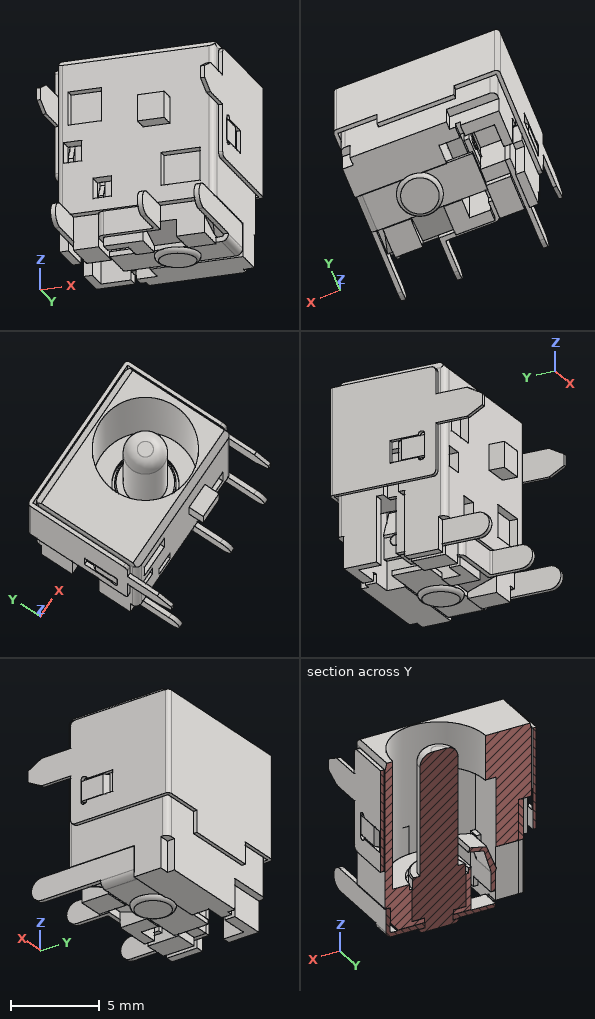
import cadquery as cq
import math


housing_half = 4.75
housing_depth = 7.02
housing_top = 11.7
housing_bottom = 0.2
edge_radius = 0.35
top_chamfer = 0.4
top_side_chamfer = 0.1
base_top = 2.2
base_front = 0.49
base_back = 6.54
foot_left, foot_right = -1.75, 4.1

pin_x, pin_y = 1.25, 3.5
bore_radius = 3.0
bore_floor = 3.39
collar_recess_radius = 1.9
collar_recess_depth = 0.35
pin_radius = 1.25
pin_top = 11.61
pin_dome = 0.8
collar_radius = 1.73
collar_bottom = 0.94
collar_chamfer = 0.08
neck_radius = 0.94
rivet_radius = 1.32
rivet_flat_radius = 1.09
rivet_rounding = 0.32

sheet = 0.3
inner_bend = 0.1
outer_bend = inner_bend + sheet
leg_bottom = 0.74
leg_radius = (base_top - leg_bottom) / 2
leg_tip_y = -2.48
leg_center_y = leg_tip_y + leg_radius
leg_center_z = leg_bottom + leg_radius
barb_tip_y = 0.47
barb_root_y = 0.76

switch_x = -4.21
switch_back = 3.46
switch_strip_front, switch_strip_back = 3.02, 4.0

spring_x = -2.41
spring_leg_x = 1.01
spring_wing_bottom = 1.39
spring_wing_top = 4.21
blade_front, blade_back = 1.81, 5.2
blade_bottom = 2.69

pin_contact_x = 4.41
plate_bottom = 0.29
plate_top = plate_bottom + sheet
plate_front, plate_back = 2.34, 4.68

slot_front, slot_back = 2.63, 4.43
slot_top = 4.24
narrow_slot_top = 6.89
pocket_right = -0.84
pocket_front, pocket_back = 1.17, 5.85
pocket_top = 8.78

shield_half = 5.049
shield_sheet = 0.25
shield_back = 7.32
shield_front = base_front
shield_bottom, shield_top = 4.69, 11.33
shield_bend = 0.25
wing_corner = 0.29
shield_leg_bottom, shield_leg_top = 7.84, 9.62
shield_leg_shoulder = -1.52
shield_leg_tip_bottom, shield_leg_tip_top = 8.35, 9.08
tab_half = 2.34
tab_bottom = 3.28
window_front, window_back = 1.22, 3.42
window_bottom, window_top = 5.95, 7.32
tongue_gap = 0.05
tongue_sink = 0.04
tongue_back = 3.02
tongue_bevel = 0.32
relief_radius = 0.2


def block(x0, x1, y0, y1, z0, z1):
    """Box between two X, two Y and two Z positions."""
    return cq.Workplane("XY").box(x1 - x0, y1 - y0, z1 - z0, centered=False).translate((x0, y0, z0))


def side_plate(x0, x1, outline):
    """Plate between two X positions with an outline of (Y, Z) points."""
    return cq.Workplane("YZ", origin=(x0, 0, 0)).polyline(outline).close().extrude(x1 - x0)


def front_profile(y0, y1, outline):
    """Prism between two Y positions with an outline of (X, Z) points."""
    return cq.Workplane("XZ", origin=(0, y0, 0)).polyline(outline).close().extrude(y0 - y1)


def upright_cylinder(radius, z0, z1):
    """Cylinder on the pin axis."""
    return cq.Workplane("XY", origin=(pin_x, pin_y, z0)).circle(radius).extrude(z1 - z0)


def leg(x0, root_y):
    """Solder leg with a round tip, reaching back to root_y."""
    shank = block(x0, x0 + sheet, leg_center_y, root_y, leg_bottom, base_top)
    tip = (
        cq.Workplane("YZ", origin=(x0, leg_center_y, leg_center_z))
        .circle(leg_radius)
        .extrude(sheet)
    )
    return shank.union(tip)


def barb(x0, top, tip_top, tip_bottom, bottom):
    """Latching barb on the front edge of an upright contact sheet."""
    return side_plate(x0, x0 + sheet, [
        (barb_root_y, top),
        (barb_tip_y, tip_top),
        (barb_tip_y, tip_bottom),
        (barb_root_y, bottom),
    ])


def make_center_pin():
    collar_top = bore_floor + collar_recess_depth
    flat_radius = pin_radius - pin_dome
    dome_start = pin_top - pin_dome
    dome_mid = pin_dome * math.sqrt(0.5)
    return (
        cq.Workplane("XZ", origin=(pin_x, pin_y, 0))
        .lineTo(rivet_flat_radius, 0)
        .radiusArc((rivet_radius, plate_bottom), -rivet_rounding)
        .lineTo(neck_radius, plate_bottom)
        .lineTo(neck_radius, collar_bottom)
        .lineTo(collar_radius, collar_bottom)
        .lineTo(collar_radius, collar_top - collar_chamfer)
        .lineTo(collar_radius - collar_chamfer, collar_top)
        .lineTo(pin_radius, collar_top)
        .lineTo(pin_radius, dome_start)
        .threePointArc((flat_radius + dome_mid, dome_start + dome_mid), (flat_radius, pin_top))
        .lineTo(0, pin_top)
        .close()
        .revolve(360, (0, 0, 0), (0, 1, 0))
    )


def make_switch_contact():
    right = switch_x + sheet
    body = leg(switch_x, switch_back)
    body = body.union(block(switch_x, right, barb_root_y, switch_back, leg_bottom, narrow_slot_top))
    body = body.union(
        block(switch_x, right, switch_strip_front, switch_strip_back, slot_top, narrow_slot_top)
    )
    return body.union(barb(switch_x, top=6.6, tip_top=5.78, tip_bottom=5.5, bottom=5.36))


def make_spring_contact():
    right = spring_x + sheet
    plate_y = base_front - sheet
    lower_wing_back = pocket_front + sheet
    body = (
        cq.Workplane("XY", origin=(0, 0, leg_bottom))
        .moveTo(right, lower_wing_back)
        .lineTo(spring_x, lower_wing_back)
        .lineTo(spring_x, plate_y + outer_bend)
        .radiusArc((spring_x + outer_bend, plate_y), -outer_bend)
        .lineTo(spring_leg_x - inner_bend, plate_y)
        .radiusArc((spring_leg_x, plate_y - inner_bend), inner_bend)
        .lineTo(spring_leg_x + sheet, plate_y - inner_bend)
        .lineTo(spring_leg_x + sheet, base_front)
        .lineTo(right + inner_bend, base_front)
        .radiusArc((right, base_front + inner_bend), inner_bend)
        .close()
        .extrude(base_top - leg_bottom)
    )
    body = body.union(leg(spring_leg_x, plate_y))
    body = body.union(
        block(spring_x, right, barb_root_y, blade_front, spring_wing_bottom, spring_wing_top)
    )
    body = body.union(
        block(spring_x, right, blade_front, blade_back, spring_wing_bottom, blade_bottom)
    )
    body = body.union(barb(spring_x, top=4.0, tip_top=3.28, tip_bottom=3.09, bottom=2.97))
    blade_lip_x, blade_lip_z = -2.48, 2.83
    kink_x, kink_z = -1.83, 4.45
    blade_tip_x, blade_tip_z = -0.73, 4.68
    kink_run, kink_drop = 0.19, 0.26
    tip_run, tip_drop = 0.07, 0.3
    blade = front_profile(blade_front, blade_back, [
        (spring_x, blade_bottom),
        (blade_lip_x, blade_lip_z),
        (kink_x, kink_z),
        (blade_tip_x, blade_tip_z),
        (blade_tip_x + tip_run, blade_tip_z - tip_drop),
        (kink_x + kink_run, kink_z - kink_drop),
        (right, blade_bottom),
    ])
    dimple_radius, dimple_z, dimple_height = 0.33, 2.42, 0.07
    dimple = (
        cq.Workplane("YZ", origin=(spring_x, slot_back, dimple_z))
        .circle(dimple_radius)
        .extrude(-dimple_height)
    )
    return body.union(blade).union(dimple)


def make_pin_contact():
    right = pin_contact_x + sheet
    plate = block(spring_x, right, plate_front, plate_back, plate_bottom, plate_top)
    upright = block(pin_contact_x, right, plate_front, plate_back, plate_bottom, base_top)
    middle_y = (plate_front + plate_back) / 2
    folded = plate.union(upright)
    for x, z, radius in (
        (right, plate_bottom, outer_bend),
        (pin_contact_x, plate_top, inner_bend),
    ):
        fold_edge = cq.selectors.NearestToPointSelector((x, middle_y, z))
        folded = folded.edges(fold_edge).fillet(radius)
    return folded.union(leg(pin_contact_x, plate_back)).cut(
        upright_cylinder(neck_radius, plate_bottom, plate_top)
    )


def make_shield():
    inner_half = shield_half - shield_sheet
    inner_back = shield_back - shield_sheet
    body = block(-shield_half, shield_half, shield_front, shield_back, shield_bottom, shield_top)
    body = body.edges("|Z and >Y").fillet(shield_bend)
    body = body.edges("|X and <Y").fillet(wing_corner)
    body = body.cut(
        block(-inner_half, inner_half, shield_front, inner_back, shield_bottom, shield_top)
    )
    body = body.union(
        block(-tab_half, tab_half, inner_back, shield_back, tab_bottom, shield_bottom)
    )
    leg_outline = [
        (shield_front, shield_leg_bottom),
        (shield_leg_shoulder, shield_leg_bottom),
        (leg_tip_y, shield_leg_tip_bottom),
        (leg_tip_y, shield_leg_tip_top),
        (shield_leg_shoulder, shield_leg_top),
        (shield_front, shield_leg_top),
    ]
    for side in (-1, 1):
        inner, outer = side * inner_half, side * shield_half
        left, right = min(inner, outer), max(inner, outer)
        body = body.union(side_plate(left, right, leg_outline))
        body = body.cut(
            block(left, right, window_front, window_back, window_bottom, window_top)
        )
        reliefs = (
            cq.Workplane("YZ", origin=(left, 0, 0))
            .pushPoints([
                (window_front + relief_radius, window_bottom),
                (window_front + relief_radius, window_top),
            ])
            .circle(relief_radius)
            .extrude(shield_sheet)
        )
        body = body.cut(reliefs)
        sink = side * tongue_sink
        tongue = (
            cq.Workplane("XY", origin=(-sink, 0, window_bottom + tongue_gap))
            .polyline([
                (inner, window_front),
                (outer, window_front),
                (outer, tongue_back - tongue_bevel),
                (inner, tongue_back),
            ])
            .close()
            .extrude(window_top - window_bottom - 2 * tongue_gap)
        )
        body = body.union(tongue)
    return body


def housing_shell():
    """Outer block with rounded upright edges, a chamfered top and a set-in base."""
    body = block(-housing_half, housing_half, 0, housing_depth, housing_bottom, housing_top)
    body = body.edges("|Z").fillet(edge_radius)
    shoulder = housing_top - top_chamfer
    body = body.intersect(side_plate(-housing_half, housing_half, [
        (0, housing_bottom),
        (0, shoulder),
        (top_chamfer, housing_top),
        (housing_depth - top_chamfer, housing_top),
        (housing_depth, shoulder),
        (housing_depth, housing_bottom),
    ]))
    top_half = housing_half - top_side_chamfer
    body = body.intersect(front_profile(0, housing_depth, [
        (-housing_half, housing_bottom),
        (-housing_half, shoulder),
        (-top_half, housing_top),
        (top_half, housing_top),
        (housing_half, shoulder),
        (housing_half, housing_bottom),
    ]))
    for y0, y1 in ((0, base_front), (base_back, housing_depth)):
        body = body.cut(
            block(-housing_half, housing_half, y0, y1, housing_bottom, base_top)
        )
    return body.union(
        block(foot_left, foot_right, base_back, housing_depth, housing_bottom, base_top)
    )


def front_details(body):
    """Recesses and windows in the front wall, and the locating block on it."""
    recess_depth = 0.51
    windows = [
        (-4.06, -2.06, 7.63, 9.64, recess_depth),
        (1.52, 3.87, 3.2, 5.21, recess_depth),
        (-4.33, -3.25, 5.36, 6.6, barb_root_y),
        (-2.57, -1.46, 2.97, 4.2, barb_root_y),
    ]
    for x0, x1, z0, z1, depth in windows:
        body = body.cut(block(x0, x1, 0, depth, z0, z1))
    block_reach = 0.96
    return body.union(block(0.46, 2.06, -block_reach, 0, 6.9, 8.5))


def socket(body):
    """Bore, collar recess and the pocket of the spring contact."""
    body = body.cut(upright_cylinder(bore_radius, bore_floor, housing_top))
    body = body.cut(
        upright_cylinder(collar_recess_radius, bore_floor - collar_recess_depth, bore_floor)
    )
    return body.cut(
        block(spring_x, pocket_right, pocket_front, pocket_back, housing_bottom, pocket_top)
    )


def left_wall_slot(body):
    """Stepped slot in the left wall and the contact chamber behind it."""
    body = body.cut(
        block(-housing_half, switch_x, slot_front, slot_back, housing_bottom, slot_top)
    )
    body = body.cut(block(
        -housing_half, switch_x, switch_strip_front, switch_strip_back, slot_top, narrow_slot_top
    ))
    body = body.cut(
        block(switch_x, spring_x, slot_front, slot_back, housing_bottom, leg_bottom)
    )
    return body.cut(
        block(switch_x, spring_x, switch_back, pocket_back, housing_bottom, slot_top)
    )


def base_channels(body):
    """Openings in the underside through which the contacts are inserted."""
    notch_front_top = 1.23
    notch_left = 3.97
    ramp = [
        (base_front, housing_bottom),
        (base_front, notch_front_top),
        (plate_front, plate_top),
        (plate_front, housing_bottom),
    ]
    for x0, x1 in ((0.27, 2.27), (notch_left, housing_half)):
        body = body.cut(side_plate(x0, x1, ramp))
    body = body.cut(
        block(spring_x, housing_half, plate_front, plate_back, housing_bottom, plate_top)
    )
    body = body.cut(
        block(pin_contact_x, housing_half, base_front, plate_back, housing_bottom, base_top)
    )
    clearance_top = 0.68
    body = body.cut(front_profile(base_front, plate_back, [
        (notch_left, plate_top),
        (notch_left, clearance_top),
        (pin_contact_x, notch_front_top),
        (pin_contact_x, plate_top),
    ]))
    for x0, y1 in ((switch_x, slot_back), (spring_x, base_back)):
        body = body.cut(block(x0, x0 + sheet, base_front, y1, housing_bottom, leg_bottom))
    return body


def make_housing(inserts):
    body = housing_shell()
    body = front_details(body)
    body = socket(body)
    body = left_wall_slot(body)
    body = base_channels(body)
    for insert in inserts:
        body = body.cut(insert)
    return body


center_pin = make_center_pin()
switch_contact = make_switch_contact()
spring_contact = make_spring_contact()
pin_contact = make_pin_contact()
shield = make_shield()
housing = make_housing([center_pin, switch_contact, spring_contact, pin_contact])

result = cq.Compound.makeCompound([
    housing.val(),
    shield.val(),
    center_pin.val(),
    switch_contact.val(),
    spring_contact.val(),
    pin_contact.val(),
])